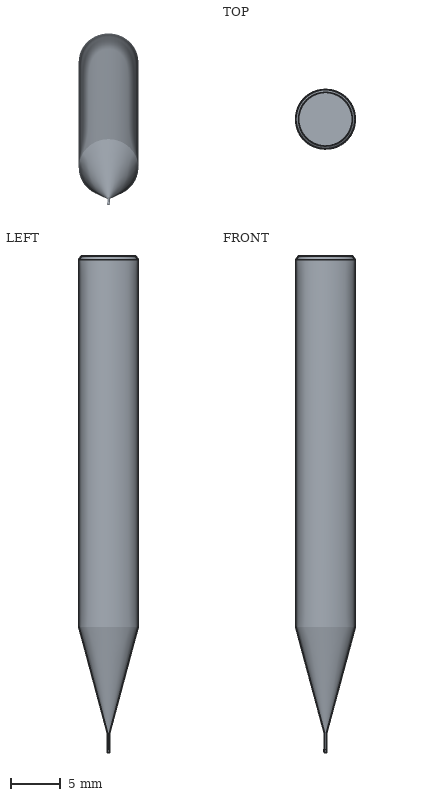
import cadquery as cq
import math

total_length = 50.0
shank_diameter = 6.0
shank_bottom = 12.65
chamfer_width = 0.3
chamfer_height = 0.4

neck_diameter = 0.25
neck_top = 2.0
tip_diameter = 0.3
tip_length = 0.3


def make_holder():
    """Shank, cone and neck as one turned body."""
    shank_radius = shank_diameter / 2
    neck_radius = neck_diameter / 2
    return (
        cq.Workplane("XZ")
        .moveTo(0, tip_length)
        .lineTo(neck_radius, tip_length)
        .lineTo(neck_radius, neck_top)
        .lineTo(shank_radius, shank_bottom)
        .lineTo(shank_radius, total_length - chamfer_height)
        .lineTo(shank_radius - chamfer_width, total_length)
        .lineTo(0, total_length)
        .close()
        .revolve(360, (0, 0, 0), (0, 1, 0))
    )


def make_cutting_tip():
    """Short ball-nosed cutting tip, slightly wider than the neck."""
    ball_radius = tip_diameter / 2
    arc_offset = ball_radius * math.sqrt(0.5)
    return (
        cq.Workplane("XZ")
        .threePointArc((arc_offset, ball_radius - arc_offset), (ball_radius, ball_radius))
        .lineTo(ball_radius, tip_length)
        .lineTo(0, tip_length)
        .close()
        .revolve(360, (0, 0, 0), (0, 1, 0))
    )


holder = make_holder()
cutting_tip = make_cutting_tip()

result = cq.Compound.makeCompound([holder.val(), cutting_tip.val()])